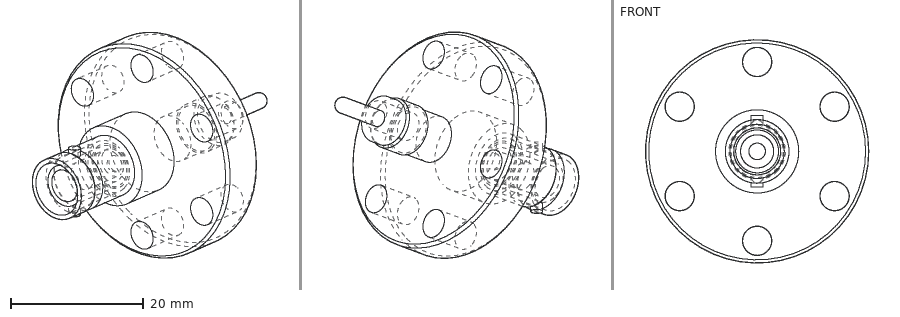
import cadquery as cq
import math


total_length = 49.15

flange_diameter = 33.75
flange_front = 20.2
flange_thickness = 7.23
flange_chamfer = 0.5
bolt_circle_diameter = 27.05
bolt_hole_diameter = 4.35
bolt_hole_count = 6

hub_diameter = 12.6
hub_front = 12.65
sleeve_diameter = 9.65
groove_centre = 4.2
groove_width = 1.8
groove_depth = 0.55

stud_diameter = groove_width
stud_span = 10.8

recess_diameter = 8.2
recess_floor_diameter = 7.1
recess_depth = hub_front
recess_floor_rise = 0.35

insulator_diameter = 6.5
insulator_front = 1.8
insulator_bore_diameter = 5.0
contact_diameter = 2.5

barrel_diameter = 7.23
barrel_end = 39.85
barrel_end_fillet = 0.3
collar_diameter = 7.85
collar_front = 33.1
collar_end = 37.7
collar_chamfer_length = 0.45
pin_diameter = contact_diameter

flange_back = flange_front + flange_thickness


def cylinder(diameter, start, end):
    """Solid cylinder along Y between two stations."""
    return cq.Workplane("XZ", origin=(0, start, 0)).circle(diameter / 2).extrude(start - end)


def cone(start_diameter, end_diameter, start, end):
    """Solid cone frustum along Y between two stations."""
    return cq.Workplane("XY").add(
        cq.Solid.makeCone(
            start_diameter / 2, end_diameter / 2, end - start, cq.Vector(0, start, 0), cq.Vector(0, 1, 0)
        )
    )


def make_flange():
    flange = cylinder(flange_diameter, flange_front, flange_back).edges().chamfer(flange_chamfer)
    holes = (
        cq.Workplane("XZ", origin=(0, flange_front, 0))
        .polarArray(bolt_circle_diameter / 2, 90, 360, bolt_hole_count)
        .circle(bolt_hole_diameter / 2)
        .extrude(-flange_thickness)
    )
    return flange.cut(holes)


def make_groove():
    """Ring with a round-bottomed section, cut from the sleeve."""
    sleeve_radius = sleeve_diameter / 2
    return (
        cq.Workplane("XY")
        .moveTo(sleeve_radius, groove_centre - groove_width / 2)
        .threePointArc(
            (sleeve_radius - groove_depth, groove_centre),
            (sleeve_radius, groove_centre + groove_width / 2),
        )
        .close()
        .revolve(360, (0, 0, 0), (0, 1, 0))
    )


def make_studs():
    return (
        cq.Workplane("XY", origin=(0, groove_centre, 0))
        .circle(stud_diameter / 2)
        .extrude(stud_span / 2, both=True)
    )


def make_recess():
    wall_end = recess_depth - recess_floor_rise
    wall = cylinder(recess_diameter, 0, wall_end)
    return wall.union(cone(recess_diameter, recess_floor_diameter, wall_end, recess_depth))


def make_insulator_bore():
    seat_depth = (insulator_bore_diameter - contact_diameter) / 2
    bore = cylinder(insulator_bore_diameter, insulator_front, recess_depth)
    seat = cone(insulator_bore_diameter, contact_diameter, recess_depth, recess_depth + seat_depth)
    return bore.union(seat)


def round_pin(base, tip):
    """Pin along Y with a hemispherical tip."""
    radius = pin_diameter / 2
    direction = math.copysign(1, tip - base)
    dome_base = tip - direction * radius
    diagonal = radius * math.sqrt(0.5)
    return (
        cq.Workplane("XY")
        .moveTo(0, base)
        .lineTo(radius, base)
        .lineTo(radius, dome_base)
        .threePointArc((diagonal, dome_base + direction * diagonal), (0, tip))
        .close()
        .revolve(360, (0, 0, 0), (0, 1, 0))
    )


def make_barrel():
    chamfer_start = collar_end - collar_chamfer_length
    barrel = cylinder(barrel_diameter, flange_back, barrel_end).faces(">Y").edges().fillet(barrel_end_fillet)
    collar = cylinder(collar_diameter, collar_front, chamfer_start)
    collar_chamfer = cone(collar_diameter, barrel_diameter, chamfer_start, collar_end)
    return barrel.union(collar).union(collar_chamfer)


socket = (
    cylinder(sleeve_diameter, 0, flange_front)
    .cut(make_groove())
    .union(make_studs())
    .union(cylinder(hub_diameter, hub_front, flange_front))
    .union(make_flange())
    .cut(make_recess())
)
insulator = cylinder(insulator_diameter, insulator_front, flange_front)
contact = round_pin(flange_front, recess_depth)
rear_pin = round_pin(flange_back, total_length)
result = (
    socket.union(insulator)
    .cut(make_insulator_bore())
    .union(contact)
    .union(make_barrel())
    .union(rear_pin)
)